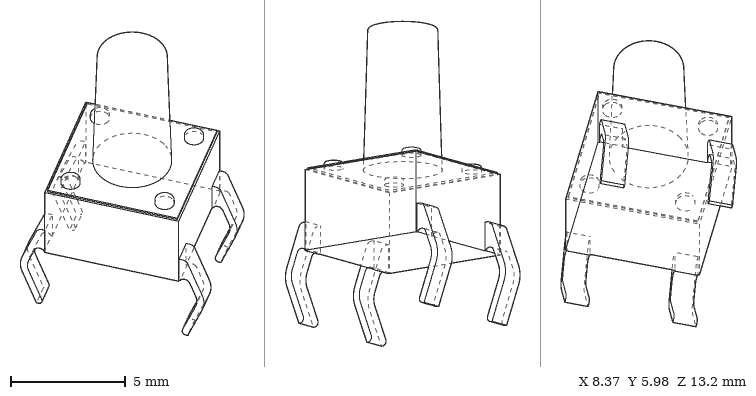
import cadquery as cq
import math

body_x = 6.1
body_y = 5.98
body_height = 3.6
plate_inset = 0.09
plate_thickness = 0.08

plunger_base_d = 3.44
plunger_top_d = 3.06
plunger_fillet = 0.12

rivet_d = 0.85
rivet_height = 0.29
rivet_fillet = 0.12
rivet_pitch = 4.28

overall_x = 8.37
overall_height = 13.18
leg_drop = 3.19
leg_width = 1.04
leg_pitch = 4.82
leg_thickness = 0.33
leg_slope = math.radians(21)
bend_outer_r = 1.23
bend_z = -1.04
leg_top_z = 1.28
leg_top_fillet = 0.29
leg_tip_fillet = 0.2
relief_r = 0.24
relief_z = -0.1

plate_top_z = body_height + plate_thickness
plunger_top_z = overall_height - leg_drop


def make_housing():
    housing = cq.Workplane("XY").box(body_x, body_y, body_height, centered=(True, True, False))
    plate = (
        cq.Workplane("XY")
        .workplane(offset=body_height)
        .rect(body_x - 2 * plate_inset, body_y - 2 * plate_inset)
        .extrude(plate_thickness)
    )
    return housing.union(plate)


def make_plunger():
    return (
        cq.Workplane("XY")
        .workplane(offset=plate_top_z)
        .circle(plunger_base_d / 2)
        .workplane(offset=plunger_top_z - plate_top_z)
        .circle(plunger_top_d / 2)
        .loft()
        .faces(">Z")
        .edges()
        .fillet(plunger_fillet)
    )


def make_rivets():
    return (
        cq.Workplane("XY")
        .workplane(offset=plate_top_z)
        .rect(rivet_pitch, rivet_pitch, forConstruction=True)
        .vertices()
        .circle(rivet_d / 2)
        .extrude(rivet_height)
        .faces(">Z")
        .edges()
        .fillet(rivet_fillet)
    )


def make_leg():
    """One leg on the +X wall, centred on Y = 0, bent outwards and back in."""
    bend_inner_r = bend_outer_r - leg_thickness
    bend_x = overall_x / 2 - bend_outer_r
    cos_slope = math.cos(leg_slope)
    tan_slope = math.tan(leg_slope)

    def on_bend(radius, angle):
        return (bend_x + radius * math.cos(angle), bend_z + radius * math.sin(angle))

    outer_upper = on_bend(bend_outer_r, leg_slope)
    outer_lower = on_bend(bend_outer_r, -leg_slope)
    inner_upper = on_bend(bend_inner_r, leg_slope)
    inner_lower = on_bend(bend_inner_r, -leg_slope)

    top_corner = (outer_upper[0] - (leg_top_z - outer_upper[1]) * tan_slope, leg_top_z)

    tip_outer = (outer_lower[0] - (outer_lower[1] + leg_drop) * tan_slope, -leg_drop)
    tip_inner = (tip_outer[0] - leg_thickness / cos_slope, -leg_drop)

    relief_start_x, relief_start_z = on_bend(bend_inner_r - relief_r, leg_slope)
    relief_x = relief_start_x - (relief_z - relief_start_z) * tan_slope
    relief_outer = (relief_x + relief_r * cos_slope, relief_z + relief_r * math.sin(leg_slope))
    relief_top = (relief_x, relief_z + relief_r)
    relief_end = (relief_x - math.sqrt(relief_r**2 - relief_z**2), 0)

    leg = (
        cq.Workplane("XZ")
        .moveTo(body_x / 2, 0)
        .lineTo(body_x / 2, leg_top_z)
        .lineTo(*top_corner)
        .lineTo(*outer_upper)
        .threePointArc(on_bend(bend_outer_r, 0), outer_lower)
        .lineTo(*tip_outer)
        .lineTo(*tip_inner)
        .lineTo(*inner_lower)
        .threePointArc(on_bend(bend_inner_r, 0), inner_upper)
        .lineTo(*relief_outer)
        .threePointArc(relief_top, relief_end)
        .close()
        .extrude(leg_width / 2, both=True)
    )
    for corner, radius in ((top_corner, leg_top_fillet), (tip_inner, leg_tip_fillet)):
        edge = cq.selectors.NearestToPointSelector((corner[0], 0, corner[1]))
        leg = leg.edges(edge).fillet(radius)
    return leg


result = make_housing().union(make_plunger()).union(make_rivets())

right_leg = make_leg()
left_leg = right_leg.mirror("YZ")
for leg_y in (-leg_pitch / 2, leg_pitch / 2):
    for leg in (left_leg, right_leg):
        result = result.union(leg.translate((0, leg_y, 0)))